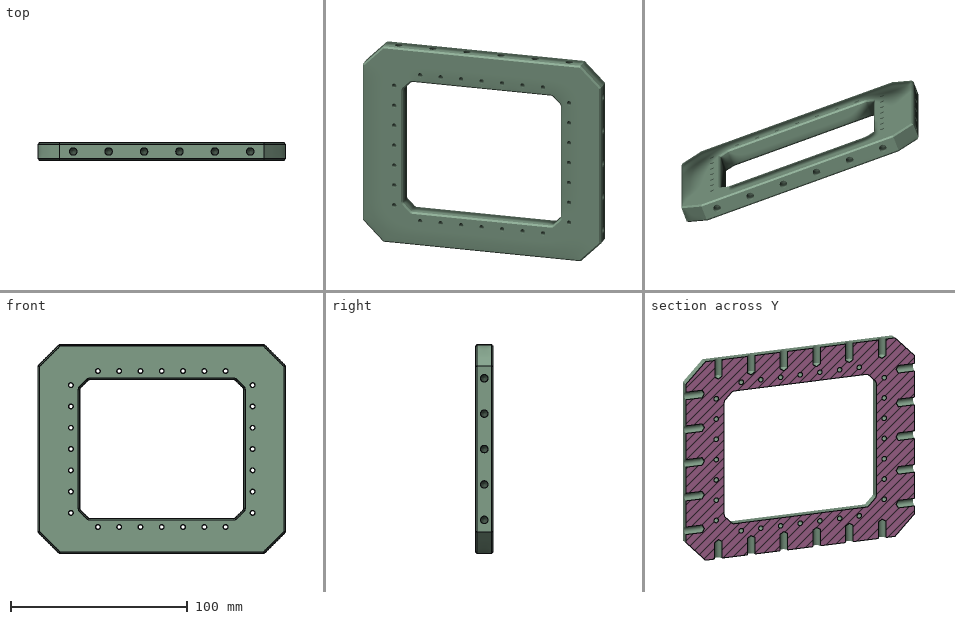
import cadquery as cq
import math

WIDTH = 140.0
HEIGHT = 118.2
THICKNESS = 10.0
CORNER_CUT = 12.0
EDGE_BEVEL = 0.91

WINDOW_WIDTH = 92.7
WINDOW_HEIGHT = 78.5
WINDOW_CORNER_CUT = 5.0
WINDOW_CORNER_RADIUS = 2.0

FACE_HOLE_DIAMETER = 2.5
FACE_HOLE_PITCH = 12.0
FACE_HOLES_PER_ROW = 7
FACE_HOLE_ROW_X = 51.4
FACE_HOLE_ROW_Z = 44.1

EDGE_HOLE_DIAMETER = 4.2
EDGE_HOLE_DEPTH = 10.0
EDGE_HOLE_PITCH = 20.0
DRILL_POINT_ANGLE = 118.0
EDGE_HOLES_ALONG_X = 6
EDGE_HOLES_ALONG_Z = 5


def row_offsets(count, pitch):
    """Positions of evenly spaced holes, centred on zero."""
    return [(i - (count - 1) / 2) * pitch for i in range(count)]


def cut_corner_plate(width, height, corner_cut):
    """Rectangular plate, as thick as the frame, with its four corners cut at 45 degrees."""
    return cq.Workplane("XY").box(width, THICKNESS, height).edges("|Y").chamfer(corner_cut)


def frame_body():
    """Plate with a window, bevelled around both faces inside and out."""
    plate = cut_corner_plate(WIDTH, HEIGHT, CORNER_CUT)
    window = cut_corner_plate(WINDOW_WIDTH, WINDOW_HEIGHT, WINDOW_CORNER_CUT)
    window = window.edges("|Y").fillet(WINDOW_CORNER_RADIUS)
    return plate.cut(window).faces("<Y or >Y").chamfer(EDGE_BEVEL)


def face_holes():
    """Through holes in two rows along X and two rows along Z."""
    offsets = row_offsets(FACE_HOLES_PER_ROW, FACE_HOLE_PITCH)
    points = []
    for side in (-1, 1):
        points += [(offset, side * FACE_HOLE_ROW_Z) for offset in offsets]
        points += [(side * FACE_HOLE_ROW_X, offset) for offset in offsets]
    holes = cq.Workplane("XZ").pushPoints(points).circle(FACE_HOLE_DIAMETER / 2)
    return holes.extrude(THICKNESS, both=True)


def drill(x, z, direction):
    """Drilled hole with a conical bottom, entering at (x, z) and running along direction."""
    radius = EDGE_HOLE_DIAMETER / 2
    point_length = radius / math.tan(math.radians(DRILL_POINT_ANGLE / 2))
    entry = cq.Vector(x, 0, z)
    axis = cq.Vector(*direction)
    barrel = cq.Solid.makeCylinder(radius, EDGE_HOLE_DEPTH, entry, axis)
    point = cq.Solid.makeCone(radius, 0, point_length, entry + axis * EDGE_HOLE_DEPTH, axis)
    return barrel.fuse(point)


def edge_holes():
    """Drilled holes on all four edges, pointing towards the window."""
    holes = []
    for side in (-1, 1):
        for x in row_offsets(EDGE_HOLES_ALONG_X, EDGE_HOLE_PITCH):
            holes.append(drill(x, side * HEIGHT / 2, (0, 0, -side)))
        for z in row_offsets(EDGE_HOLES_ALONG_Z, EDGE_HOLE_PITCH):
            holes.append(drill(side * WIDTH / 2, z, (-side, 0, 0)))
    return cq.Workplane("XY").newObject(holes).combine()


result = frame_body().cut(face_holes()).cut(edge_holes())